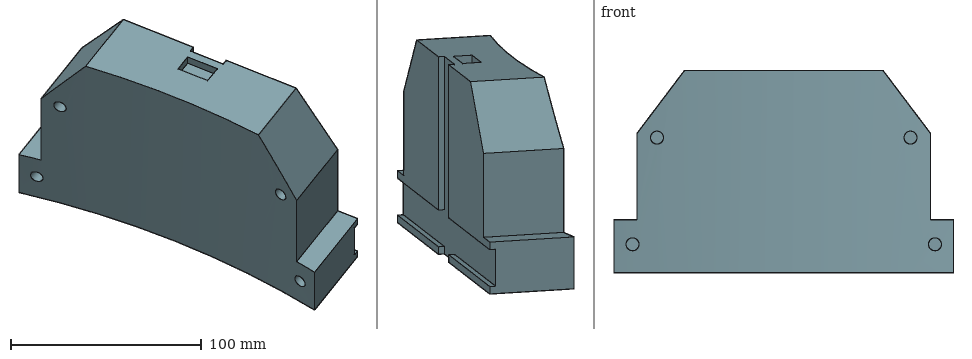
import cadquery as cq

BASE_WIDTH = 178.0
BASE_HEIGHT = 28.0
BODY_WIDTH = 154.0
SHOULDER_HEIGHT = 73.0
TOP_WIDTH = 104.0
TOTAL_HEIGHT = 106.0

END_DEPTH = 46.0
MIDDLE_DEPTH = 37.2

HOLE_DIAMETER = 6.8
HOLE_FLOOR_TO_BACK = 10.7
LOWER_HOLE_SPACING = 158.5
LOWER_HOLE_HEIGHT = 15.0
UPPER_HOLE_SPACING = 132.8
UPPER_HOLE_HEIGHT = 70.8

GROOVE_WIDTH = 19.8
GROOVE_DEPTH = 3.2

POCKET_LENGTH = 17.8
POCKET_WIDTH = 10.1
POCKET_DEPTH = 4.6
POCKET_TO_BACK = 7.8


def outline_block():
    """Stepped outline with sloped upper corners, extruded to the full depth."""
    right_side = [
        (BASE_WIDTH / 2, 0),
        (BASE_WIDTH / 2, BASE_HEIGHT),
        (BODY_WIDTH / 2, BASE_HEIGHT),
        (BODY_WIDTH / 2, SHOULDER_HEIGHT),
        (TOP_WIDTH / 2, TOTAL_HEIGHT),
    ]
    left_side = [(-x, z) for x, z in reversed(right_side)]
    return cq.Workplane("XZ").polyline(right_side + left_side).close().extrude(END_DEPTH)


def curved_plan():
    """Plan shape with a flat back and a concave arc in front."""
    half_width = BASE_WIDTH / 2
    return (
        cq.Workplane("XY")
        .moveTo(-half_width, 0)
        .lineTo(-half_width, -END_DEPTH)
        .threePointArc((0, -MIDDLE_DEPTH), (half_width, -END_DEPTH))
        .lineTo(half_width, 0)
        .close()
        .extrude(TOTAL_HEIGHT)
    )


def mounting_holes():
    """Four cylinders along Y that end short of the back face."""
    centers = []
    for side in (-1, 1):
        centers.append((side * LOWER_HOLE_SPACING / 2, LOWER_HOLE_HEIGHT))
        centers.append((side * UPPER_HOLE_SPACING / 2, UPPER_HOLE_HEIGHT))
    return (
        cq.Workplane("XZ", origin=(0, -HOLE_FLOOR_TO_BACK, 0))
        .pushPoints(centers)
        .circle(HOLE_DIAMETER / 2)
        .extrude(END_DEPTH - HOLE_FLOOR_TO_BACK)
    )


def back_grooves():
    """Upright groove at mid width, crossed by one at half the lug height."""
    back = cq.Workplane("XZ")
    upright = back.center(0, TOTAL_HEIGHT / 2).rect(GROOVE_WIDTH, TOTAL_HEIGHT).extrude(GROOVE_DEPTH)
    crossing = back.center(0, BASE_HEIGHT / 2).rect(BASE_WIDTH, GROOVE_WIDTH).extrude(GROOVE_DEPTH)
    return upright.union(crossing)


def top_pocket():
    """Shallow rectangular pocket sunk into the top face."""
    return (
        cq.Workplane("XY", origin=(0, -POCKET_TO_BACK - POCKET_WIDTH / 2, TOTAL_HEIGHT))
        .rect(POCKET_LENGTH, POCKET_WIDTH)
        .extrude(-POCKET_DEPTH)
    )


def make_housing():
    housing = outline_block().intersect(curved_plan())
    for cutter in (mounting_holes(), back_grooves(), top_pocket()):
        housing = housing.cut(cutter)
    return housing.solids()


housing = make_housing()

result = cq.Compound.makeCompound([housing.val()])